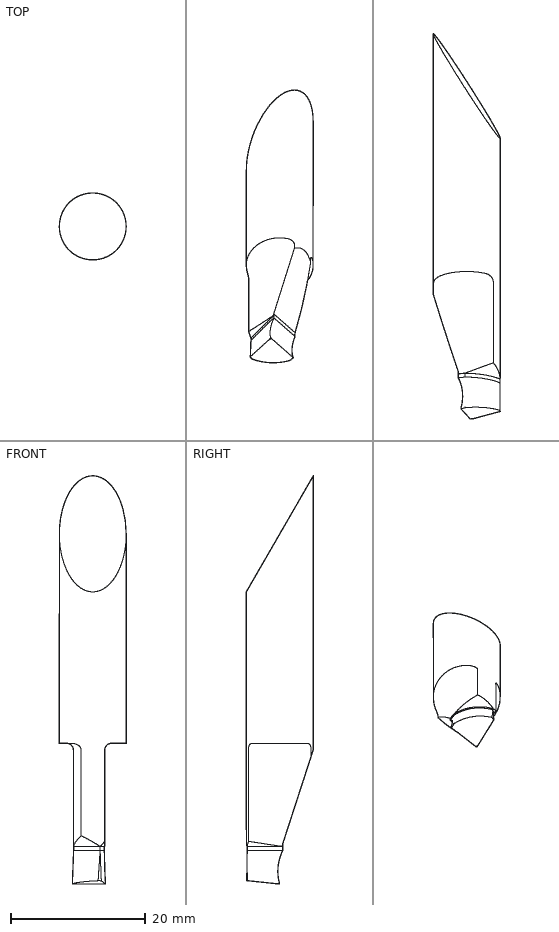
import cadquery as cq
import math


shank_diameter = 10.0
shank_radius = shank_diameter / 2
overall_length = 60.91
end_cut_angle = 30.0
shoulder_height = 21.0
shoulder_fillet = 1.0

neck_apex_x = -2.9
neck_side_radius = 10.0
neck_flat_x = 1.8
back_slope_angle = 18.0
back_slope_top = shoulder_height - shoulder_fillet

tip_length = 5.0
seat_height = 0.6
seat_flare_height = 3.0
seat_flare_angle = 40.0
seat_back_y = 0.45

land_x = -2.87
land_depth = 0.65
flank_radius = 7.0
nose_x = 1.1
nose_y = -math.sqrt(shank_radius**2 - nose_x**2)
right_corner_x = 1.74
side_taper = 2.2
end_relief_angle = 6.0
corner_radius = 0.2
groove_low_y = -0.27
groove_low_z = 1.7

margin = 10.0


def cylinder_stock(bottom, top):
    return cq.Workplane("XY").workplane(offset=bottom).circle(shank_radius).extrude(top - bottom)


def prism_along_x(profile):
    """Extrude a closed YZ profile across the full width of the part."""
    return profile.extrude(margin, both=True)


def end_cut():
    """Wedge that slants the top end, high at +Y and low at -Y."""
    reach = shank_radius + margin
    slope = 1 / math.tan(math.radians(end_cut_angle))
    rise = reach * slope
    pivot_z = overall_length - shank_radius * slope
    profile = (
        cq.Workplane("YZ")
        .moveTo(-reach, pivot_z - rise)
        .lineTo(reach, pivot_z + rise)
        .lineTo(-reach, pivot_z + rise)
        .close()
    )
    return prism_along_x(profile)


def convex_side_cut():
    """Block that leaves the convex -X side of the neck and its shoulder fillet."""
    half = shank_radius * 1.2
    sagitta = neck_side_radius - math.sqrt(neck_side_radius**2 - half**2)
    block = (
        cq.Workplane("XY")
        .moveTo(-margin, -half)
        .lineTo(neck_apex_x + sagitta, -half)
        .threePointArc((neck_apex_x, 0), (neck_apex_x + sagitta, half))
        .lineTo(-margin, half)
        .close()
        .extrude(shoulder_height)
    )
    return block.faces(">Z").edges("%CIRCLE").fillet(shoulder_fillet)


def flat_side_cut():
    """Block that leaves the flat +X side of the neck and its shoulder fillet."""
    block = cq.Workplane("XY").box(margin, 2 * margin, shoulder_height, centered=(False, True, False))
    return block.edges("<X and >Z").fillet(shoulder_fillet).translate((neck_flat_x, 0, 0))


def back_slope_cut():
    """Sloped +Y side of the neck, ending in a short upright back on the seat."""
    slope_bottom = back_slope_top - (shank_radius - seat_back_y) / math.tan(math.radians(back_slope_angle))
    profile = (
        cq.Workplane("YZ")
        .moveTo(shank_radius, back_slope_top)
        .lineTo(seat_back_y, slope_bottom)
        .lineTo(seat_back_y, 0)
        .lineTo(shank_radius, 0)
        .close()
    )
    return prism_along_x(profile)


def tip_outline(height):
    """Tip outline drawn at the given height, carried well past the tip toward +Y."""
    start = (land_x, -land_depth)
    end = (nose_x, nose_y)
    chord_x = end[0] - start[0]
    chord_y = end[1] - start[1]
    chord = math.hypot(chord_x, chord_y)
    bulge = flank_radius - math.sqrt(flank_radius**2 - (chord / 2) ** 2)
    middle = (
        (start[0] + end[0]) / 2 + bulge * chord_y / chord,
        (start[1] + end[1]) / 2 - bulge * chord_x / chord,
    )
    return (
        cq.Workplane("XY")
        .workplane(offset=height)
        .moveTo(land_x, margin)
        .lineTo(*start)
        .threePointArc(middle, end)
        .lineTo(right_corner_x, 0)
        .lineTo(right_corner_x, margin)
        .close()
    )


def make_holder():
    flare_bottom = tip_length + seat_height
    flare_top = flare_bottom + seat_flare_height
    body = cylinder_stock(tip_length, overall_length)
    body = body.cut(end_cut()).cut(convex_side_cut()).cut(flat_side_cut()).cut(back_slope_cut())
    seat = tip_outline(tip_length).extrude(seat_height)
    flare = tip_outline(flare_bottom).extrude(seat_flare_height, taper=-seat_flare_angle)
    around_seat = cylinder_stock(tip_length, flare_top).cut(seat).cut(flare)
    return body.cut(around_seat)


def rounded_edge_envelope():
    """Block as wide as the cutting edge, with its two lower corners rounded."""
    edge_overhang = tip_length * math.tan(math.radians(side_taper))
    left = land_x - edge_overhang
    width = right_corner_x + edge_overhang - left
    block = cq.Workplane("XY").box(width, 2 * margin, tip_length, centered=(False, True, False))
    return block.edges("|Y and <Z").fillet(corner_radius).translate((left, 0, 0))


def make_tip():
    flared_block = tip_outline(tip_length).extrude(-tip_length, taper=-side_taper)
    end_rise = shank_radius * math.tan(math.radians(end_relief_angle))
    side = (
        cq.Workplane("YZ")
        .moveTo(0, 0)
        .lineTo(-shank_radius, end_rise)
        .lineTo(-shank_radius, tip_length)
        .lineTo(seat_back_y, tip_length)
        .threePointArc((groove_low_y, groove_low_z), (0, 0))
        .close()
    )
    tip = cylinder_stock(0, tip_length).intersect(flared_block).intersect(prism_along_x(side))
    return tip.intersect(rounded_edge_envelope())


holder = make_holder()
tip = make_tip()

result = cq.Compound.makeCompound([holder.solids().val(), tip.solids().val()])